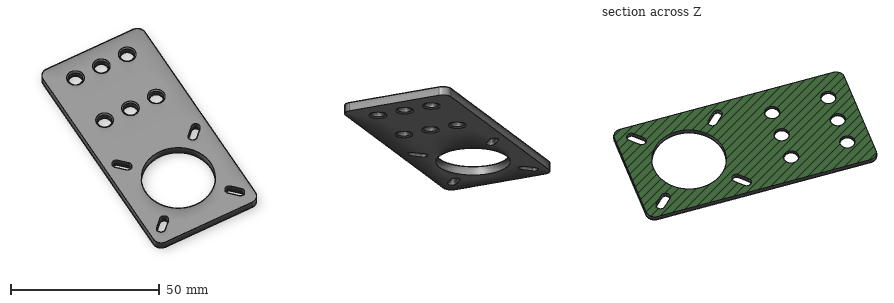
import cadquery as cq
import math

length = 82.0
width = 39.5
thickness = 3.0
corner_radius = 3.0

hole_diameter = 5.0
hole_chamfer = 0.5
hole_edge_distance = 8.0
hole_columns = 2
hole_rows = 3
column_pitch = 20.0
row_pitch = column_pitch / 2
grid_center_x = -length / 2 + hole_edge_distance + column_pitch / 2

opening_diameter = 25.0
opening_x = 20.0
slot_width = 3.0
slot_inner_offset = 12.6
slot_outer_offset = 15.3
slot_center_radius = math.sqrt(2) * (slot_inner_offset + slot_outer_offset) / 2
slot_length = math.sqrt(2) * (slot_outer_offset - slot_inner_offset) + slot_width


def make_plate():
    plate = cq.Workplane("XY").box(length, width, thickness)
    return plate.edges("|Z").fillet(corner_radius)


def cut_screw_holes(plate):
    """Drill the grid of through holes, each chamfered at 45 degrees on both faces."""
    for face in (">Z", "<Z"):
        plate = (
            plate.faces(face)
            .workplane(origin=(grid_center_x, 0, 0))
            .rarray(column_pitch, row_pitch, hole_columns, hole_rows)
            .cskHole(hole_diameter, hole_diameter + 2 * hole_chamfer, 90)
        )
    return plate


def cut_motor_mount(plate):
    """Cut the round opening and the slots that point diagonally away from it."""
    mount = plate.faces(">Z").workplane(origin=(opening_x, 0, 0))
    return (
        mount.hole(opening_diameter)
        .faces(">Z")
        .workplane(origin=(opening_x, 0, 0))
        .polarArray(slot_center_radius, 45, 360, 4)
        .slot2D(slot_length, slot_width)
        .cutThruAll()
    )


result = cut_motor_mount(cut_screw_holes(make_plate()))